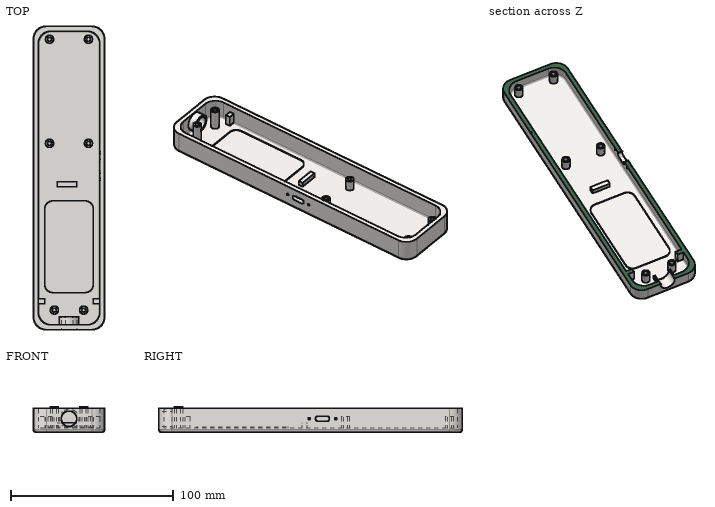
import cadquery as cq

body_width = 44.0
body_length = 187.26
body_height = 15.0
corner_radius = 8.0
bottom_fillet = 2.0

wall = 3.0
floor_z = 3.0
cavity_corner_radius = 8.0
cavity_bottom_fillet = 0.5

cavity_width = body_width - 2 * wall
cavity_length = body_length - 2 * wall
front_y = -body_length / 2
inner_front_y = front_y + wall

post_diameter = 5.0
post_bore_diameter = 2.5
board_post_height = 7.0
board_post_spacing_x = 24.0
board_post_rows = (front_y + 115.0, front_y + 179.2)
front_post_top_z = 16.0
front_post_spacing_x = 18.0
front_post_y = front_y + 12.2

boss_diameter = 12.0
boss_length = 5.0
cable_bore_diameter = 9.5
cable_axis_z = 8.5

pad_width = 30.0
pad_length = 56.5
pad_height = 0.5
pad_corner_radius = 5.0
pad_front_offset = 23.0
pad_center_y = front_y + pad_front_offset + pad_length / 2

bar_width = 12.0
bar_thickness = 3.0
bar_height = 3.0
bar_center_x = -1.2
bar_center_y = front_y + 89.7

rib_length = 4.0
rib_thickness = 3.0
rib_height = 7.0
rib_center_y = front_y + 17.6

slot_length = 8.6
slot_height = 3.2
slot_center_y = front_y + 101.0
slot_center_z = 8.5
pin_hole_diameter = 1.2
pin_hole_spacing = 16.5


def floor_block(size_x, size_y, height):
    """Block standing on the cavity floor, centred in plan on the origin."""
    block = cq.Workplane("XY").box(size_x, size_y, height, centered=(True, True, False))
    return block.translate((0, 0, floor_z))


def make_shell():
    body = cq.Workplane("XY").box(body_width, body_length, body_height, centered=(True, True, False))
    body = body.edges("|Z").fillet(corner_radius)
    body = body.faces("<Z").edges().fillet(bottom_fillet)
    cavity = floor_block(cavity_width, cavity_length, body_height - floor_z)
    cavity = cavity.edges("|Z").fillet(cavity_corner_radius)
    cavity = cavity.faces("<Z").edges().fillet(cavity_bottom_fillet)
    return body.cut(cavity)


def make_posts(centers, height):
    """Hollow posts whose bores stop at the cavity floor."""
    return (
        cq.Workplane("XY", origin=(0, 0, floor_z))
        .pushPoints(centers)
        .circle(post_diameter / 2)
        .circle(post_bore_diameter / 2)
        .extrude(height)
    )


def make_pad():
    pad = floor_block(pad_width, pad_length, pad_height).edges("|Z").fillet(pad_corner_radius)
    return pad.translate((0, pad_center_y, 0))


def make_stop_bar():
    return floor_block(bar_width, bar_thickness, bar_height).translate((bar_center_x, bar_center_y, 0))


def make_side_rib(side):
    rib_center_x = side * (cavity_width - rib_length) / 2
    embedded_length = rib_length + wall / 2
    rib = floor_block(embedded_length, rib_thickness, rib_height)
    return rib.translate((rib_center_x + side * wall / 4, rib_center_y, 0))


def front_cylinder(diameter, start_y, end_y):
    """Cylinder on the cable axis between two Y positions."""
    return (
        cq.Workplane("XZ", origin=(0, start_y, cable_axis_z))
        .circle(diameter / 2)
        .extrude(start_y - end_y)
    )


def make_connector_openings():
    """Slot and two small holes that pass through the +X wall."""
    plane = cq.Workplane("YZ", origin=(cavity_width / 2, slot_center_y, slot_center_z))
    slot = plane.slot2D(slot_length, slot_height).extrude(wall)
    pin_holes = plane.rarray(pin_hole_spacing, 1, 2, 1).circle(pin_hole_diameter / 2).extrude(wall)
    return slot.union(pin_holes)


board_post_centers = []
for row_y in board_post_rows:
    for side in (-1, 1):
        board_post_centers.append((side * board_post_spacing_x / 2, row_y))
front_post_centers = [(side * front_post_spacing_x / 2, front_post_y) for side in (-1, 1)]

boss_end_y = inner_front_y + boss_length

result = make_shell()
result = result.union(front_cylinder(boss_diameter, front_y + wall / 2, boss_end_y))
result = result.cut(front_cylinder(cable_bore_diameter, front_y, boss_end_y))
result = result.union(make_pad())
result = result.union(make_stop_bar())
for side in (-1, 1):
    result = result.union(make_side_rib(side))
result = result.union(make_posts(board_post_centers, board_post_height))
result = result.union(make_posts(front_post_centers, front_post_top_z - floor_z))
result = result.cut(make_connector_openings())